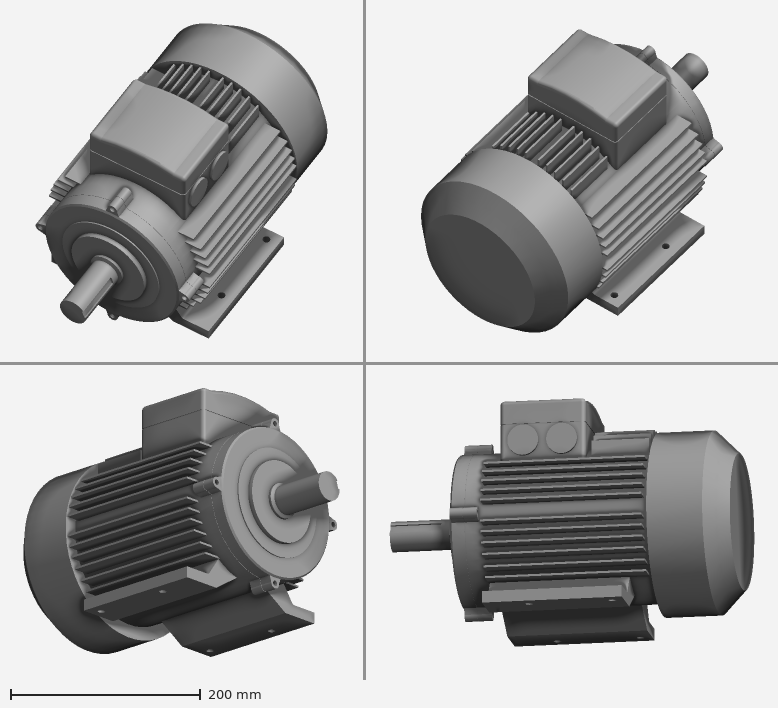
import cadquery as cq

COVER_BEVEL = 25.0
COVER_END = 85.0
FIN_START = 90.0
FIN_END = 262.5
TOP_FIN_END = 151.7
BOX_START = 157.5
BOX_END = 248.8
FOOT_START = 111.3
FOOT_END = 261.0
LUG_START = 267.0
SEAM_START = 281.7
SEAM_END = 282.5
LUG_END = 296.5
SHIELD_END = 298.2
RING_END = 299.7
HUB_END = 305.5
COLLAR_END = 308.5
NECK_END = 310.5
KEYWAY_START = 320.0
SHAFT_END = 374.5

COVER_RADIUS = 97.8
FRAME_RADIUS = 83.0
SHIELD_CHAMFER = 2.0
SEAM_DEPTH = 0.5
RING_RADIUS = 60.0
HUB_RADIUS = 45.0
COLLAR_RADIUS = 19.5
SHAFT_RADIUS = 16.0

KEYWAY_WIDTH = 9.0
KEYWAY_DEPTH = 2.5
KEYWAY_ANGLE = 20.0

FIN_THICKNESS = 2.2
SIDE_FIN_PITCH = 11.2
SIDE_FIN_REACHES = [100.0, 97.8, 94.5, 88.8, 79.8]
LOWEST_FIN_HEIGHT = -66.0
LOWEST_FIN_REACH = 71.5
TOP_FIN_FIRST = 8.5
TOP_FIN_PITCH = 11.0
TOP_FIN_REACHES = [100.0, 99.0, 95.5, 90.0, 82.0]

BOX_HALF_WIDTH = 59.5
BOX_SHOULDER = 127.8
BOX_CROWN = 134.0
CROWN_HALF_WIDTH = 45.0
BOX_FILLET = 4.5
LID_SEAM_HEIGHT = 102.0
LID_SEAM_WIDTH = 1.0
LID_SEAM_DEPTH = 0.7

ENTRY_RADIUS = 16.5
ENTRY_HEIGHT = 3.5
ENTRY_LEVEL = 84.0
ENTRY_STATIONS = [182.0, 223.5]

LUG_COUNT = 4
LUG_CENTER = 89.5
LUG_RADIUS = 6.0
LUG_BASE = 81.5
LUG_BASE_HALF_WIDTH = 8.5
LUG_HOLE_RADIUS = 3.0

FOOT_BOTTOM = -100.0
FOOT_THICKNESS = 12.5
FOOT_REACH = 97.8
FOOT_BEND = 65.0
FOOT_HEEL = 53.2
LEG_OUTER_ROOT = (46.0, -61.5)
LEG_INNER_ROOT = (18.7, -78.5)
FOOT_BEND_FILLET = 5.5
FOOT_HOLE_RADIUS = 4.0
FOOT_HOLE_X = 83.5
FOOT_HOLE_STATIONS = [123.5, 212.8]


def section(station):
    """Workplane across the axis; extruding from it goes forward."""
    return cq.Workplane("XZ").workplane(offset=station)


def block(x_range, z_range, start, end):
    """Box between two x values, two z values and two stations."""
    return cq.Workplane("XY").box(
        x_range[1] - x_range[0], end - start, z_range[1] - z_range[0], centered=False
    ).translate((x_range[0], -end, z_range[0]))


def turned(profile):
    """Solid of revolution from (radius, station) points, closed along the axis."""
    points = [(radius, -station) for radius, station in profile]
    points = [(0, points[0][1])] + points + [(0, points[-1][1])]
    return cq.Workplane("XY").polyline(points).close().revolve(360, (0, 0), (0, 1))


def make_frame():
    """Fan cover, cylindrical frame, seam groove, front shield, ring and bearing hub."""
    seam_radius = FRAME_RADIUS - SEAM_DEPTH
    return turned([
        (COVER_RADIUS - COVER_BEVEL, 0),
        (COVER_RADIUS, COVER_BEVEL),
        (COVER_RADIUS, COVER_END),
        (FRAME_RADIUS, COVER_END),
        (FRAME_RADIUS, SEAM_START),
        (seam_radius, SEAM_START),
        (seam_radius, SEAM_END),
        (FRAME_RADIUS, SEAM_END),
        (FRAME_RADIUS, SHIELD_END - SHIELD_CHAMFER),
        (FRAME_RADIUS - SHIELD_CHAMFER, SHIELD_END),
        (RING_RADIUS, SHIELD_END),
        (RING_RADIUS, RING_END),
        (HUB_RADIUS, RING_END),
        (HUB_RADIUS, HUB_END),
    ])


def make_side_fin(height, reach):
    """Horizontal plate across the frame, giving one fin on each side."""
    half = FIN_THICKNESS / 2
    return block((-reach, reach), (height - half, height + half), FIN_START, FIN_END)


def make_top_fin(x, reach):
    """Upright plate rising from the frame behind the terminal box."""
    half = FIN_THICKNESS / 2
    return block((x - half, x + half), (0, reach), FIN_START, TOP_FIN_END)


def make_fins():
    fins = [make_side_fin(LOWEST_FIN_HEIGHT, LOWEST_FIN_REACH)]
    for side in (-1, 1):
        for index, reach in enumerate(SIDE_FIN_REACHES):
            fins.append(make_side_fin(side * SIDE_FIN_PITCH * (index + 1), reach))
        for index, reach in enumerate(TOP_FIN_REACHES):
            fins.append(make_top_fin(side * (TOP_FIN_FIRST + TOP_FIN_PITCH * index), reach))
    return fins


def make_lid_groove():
    """Thin frame-shaped cutter that runs around the box at the lid seam."""
    width = 2 * BOX_HALF_WIDTH
    length = BOX_END - BOX_START
    margin = 2 * BOX_FILLET
    outside = cq.Workplane("XY").rect(width + margin, length + margin).extrude(LID_SEAM_WIDTH)
    inside = (
        cq.Workplane("XY")
        .rect(width - 2 * LID_SEAM_DEPTH, length - 2 * LID_SEAM_DEPTH).extrude(LID_SEAM_WIDTH)
        .edges("|Z").fillet(BOX_FILLET - LID_SEAM_DEPTH)
    )
    middle = -(BOX_START + BOX_END) / 2
    bottom = LID_SEAM_HEIGHT - LID_SEAM_WIDTH / 2
    return outside.cut(inside).translate((0, middle, bottom))


def make_terminal_box():
    """Box with a crowned top, rounded edges and a groove below its lid."""
    box = (
        section(BOX_START)
        .moveTo(-BOX_HALF_WIDTH, 0)
        .lineTo(BOX_HALF_WIDTH, 0)
        .lineTo(BOX_HALF_WIDTH, BOX_SHOULDER)
        .lineTo(CROWN_HALF_WIDTH, BOX_SHOULDER)
        .threePointArc((0, BOX_CROWN), (-CROWN_HALF_WIDTH, BOX_SHOULDER))
        .lineTo(-BOX_HALF_WIDTH, BOX_SHOULDER)
        .close()
        .extrude(BOX_END - BOX_START)
    )
    box = box.edges("(<X or >X or <Y or >Y) and (not <Z)").fillet(BOX_FILLET)

    return box.cut(make_lid_groove())


def make_cable_entries():
    return [
        cq.Workplane("YZ").workplane(offset=BOX_HALF_WIDTH)
        .center(-station, ENTRY_LEVEL).circle(ENTRY_RADIUS).extrude(ENTRY_HEIGHT)
        for station in ENTRY_STATIONS
    ]


def lug_slice(start, end, inset):
    """Stretch of the top lug between two stations, with its outline drawn in by an inset."""
    radius = LUG_RADIUS - inset
    base_half_width = LUG_BASE_HALF_WIDTH - inset
    return (
        section(start)
        .moveTo(-base_half_width, LUG_BASE)
        .lineTo(base_half_width, LUG_BASE)
        .lineTo(radius, LUG_CENTER)
        .threePointArc((0, LUG_CENTER + radius), (-radius, LUG_CENTER))
        .close()
        .extrude(end - start)
    )


def make_lug(angle):
    """Rounded ear with a seam groove and a bolt hole, flaring slightly toward the frame."""
    lug = (
        lug_slice(LUG_START, SEAM_START, 0)
        .union(lug_slice(SEAM_START, SEAM_END, SEAM_DEPTH))
        .union(lug_slice(SEAM_END, LUG_END, 0))
    )
    hole = (
        section(LUG_START).center(0, LUG_CENTER)
        .circle(LUG_HOLE_RADIUS).extrude(LUG_END - LUG_START)
    )
    return lug.cut(hole).rotate((0, 0, 0), (0, 1, 0), angle)


def make_foot():
    """Foot on the +X side: a sloping leg bent out into a flat pad with two holes."""
    pad_top = FOOT_BOTTOM + FOOT_THICKNESS
    foot = (
        section(FOOT_START)
        .moveTo(*LEG_INNER_ROOT)
        .lineTo(FOOT_HEEL, FOOT_BOTTOM)
        .lineTo(FOOT_REACH, FOOT_BOTTOM)
        .lineTo(FOOT_REACH, pad_top)
        .lineTo(FOOT_BEND, pad_top)
        .lineTo(*LEG_OUTER_ROOT)
        .close()
        .extrude(FOOT_END - FOOT_START)
    )
    bend_middle = (FOOT_BEND, -(FOOT_START + FOOT_END) / 2, pad_top)
    foot = foot.edges(cq.NearestToPointSelector(bend_middle)).fillet(FOOT_BEND_FILLET)
    holes = (
        cq.Workplane("XY").workplane(offset=FOOT_BOTTOM)
        .pushPoints([(FOOT_HOLE_X, -station) for station in FOOT_HOLE_STATIONS])
        .circle(FOOT_HOLE_RADIUS).extrude(FOOT_THICKNESS)
    )
    return foot.cut(holes)


def make_motor():
    motor = make_frame()
    foot = make_foot()
    parts = make_fins() + [make_terminal_box()] + make_cable_entries()
    parts += [make_lug(360 / LUG_COUNT * index) for index in range(LUG_COUNT)]
    parts += [foot, foot.mirror("YZ")]
    for part in parts:
        motor = motor.union(part)
    return motor


def make_shaft():
    """Collared shaft standing on the hub, with a keyway open at the free end."""
    shaft = turned([
        (COLLAR_RADIUS, HUB_END),
        (COLLAR_RADIUS, COLLAR_END),
        (SHAFT_RADIUS, NECK_END),
        (SHAFT_RADIUS, SHAFT_END),
    ])
    floor = SHAFT_RADIUS - KEYWAY_DEPTH
    half = KEYWAY_WIDTH / 2
    keyway = block((floor, 2 * SHAFT_RADIUS), (-half, half), KEYWAY_START, SHAFT_END)
    return shaft.cut(keyway.rotate((0, 0, 0), (0, 1, 0), -KEYWAY_ANGLE))


motor = make_motor()
shaft = make_shaft()
result = cq.Compound.makeCompound([motor.val(), shaft.val()])